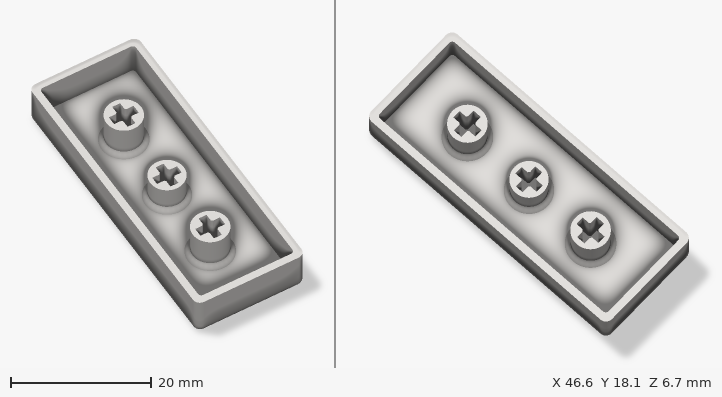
import cadquery as cq

length = 46.6
width = 18.05
height = 6.7
wall = 1.15
floor_thickness = 1.2
outer_radius = 1.15
bottom_radius = 1.1
inner_radius = 0.55

stem_spacing = 11.95
end_stem_diameter = 5.8
middle_stem_diameter = 5.6
end_stem_top = height
middle_stem_drop = 1.0
middle_stem_top = end_stem_top - middle_stem_drop
flare = 0.8

cross_span_y = 4.1
cross_arm_x = 1.3
end_cross_span_x = 4.25
end_cross_arm_y = 1.45
middle_cross_span_x = 4.1
middle_cross_arm_y = 1.3
cross_corner_ease = 0.25


def make_tray():
    """Open tray with rounded vertical corners and a rounded bottom edge."""
    body = cq.Workplane("XY").box(length, width, height, centered=(True, True, False))
    body = body.edges("|Z").fillet(outer_radius)
    body = body.faces("<Z").edges().fillet(bottom_radius)
    cavity = (
        cq.Workplane("XY", origin=(0, 0, floor_thickness))
        .rect(length - 2 * wall, width - 2 * wall)
        .extrude(height - floor_thickness)
        .edges("|Z")
        .fillet(inner_radius)
    )
    return body.cut(cavity)


def make_stem(x, diameter, top):
    """Round stem with a conical flare where it meets the floor."""
    radius = diameter / 2
    stem_height = top - floor_thickness
    profile = [
        (0, 0),
        (radius + flare, 0),
        (radius, flare),
        (radius, stem_height),
        (0, stem_height),
    ]
    stem = cq.Workplane("XZ").polyline(profile).close().revolve(360, (0, 0), (0, 1))
    return stem.translate((x, 0, floor_thickness))


def make_socket(x, top, span_x, arm_y):
    """Cross-shaped cutter, down to the tray floor, with eased inner corners."""
    depth = top - floor_thickness
    base = cq.Workplane("XY", origin=(x, 0, floor_thickness))
    along_x = base.rect(span_x, cross_arm_x).extrude(depth)
    along_y = base.rect(arm_y, cross_span_y).extrude(depth)
    corners = cq.selectors.BoxSelector(
        (x - arm_y, -cross_arm_x, 0), (x + arm_y, cross_arm_x, height)
    )
    return along_x.union(along_y).edges("|Z").edges(corners).chamfer(cross_corner_ease)


stems = [
    (-stem_spacing, end_stem_diameter, end_stem_top, end_cross_span_x, end_cross_arm_y),
    (0, middle_stem_diameter, middle_stem_top, middle_cross_span_x, middle_cross_arm_y),
    (stem_spacing, end_stem_diameter, end_stem_top, end_cross_span_x, end_cross_arm_y),
]

result = make_tray()
for x, diameter, top, span_x, arm_y in stems:
    result = result.union(make_stem(x, diameter, top))
    result = result.cut(make_socket(x, top, span_x, arm_y))